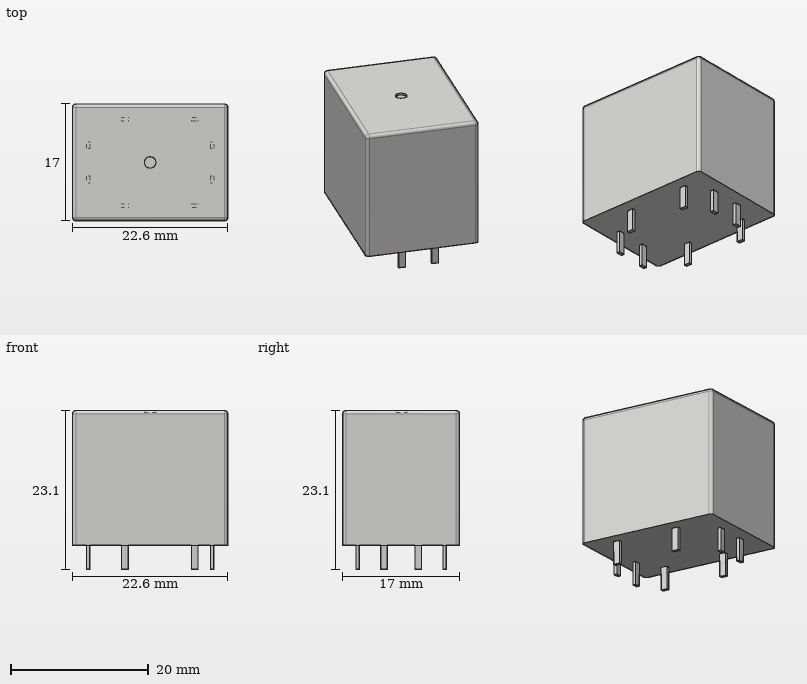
import cadquery as cq

case_length = 22.6
case_width = 17.0
total_height = 23.1
pin_length = 3.5
case_height = total_height - pin_length
edge_radius = 0.5

recess_diameter = 1.66
recess_depth = 0.3

pin_breadth = 1.0
pin_thickness = 0.5

side_pin_xs = (-3.67, 6.5)
side_row_offset = 6.3

end_row_offset = 9.0
end_pin_offset = 2.5


def make_case():
    """Box with rounded upright and top edges and a recess in its top."""
    case = cq.Workplane("XY").box(case_length, case_width, case_height, centered=(True, True, False))
    case = case.edges("|Z or >Z").fillet(edge_radius)
    return case.faces(">Z").workplane(origin=(0, 0, case_height)).hole(recess_diameter, recess_depth)


def make_pins(xs, ys, size_x, size_y):
    """Rectangular pins hanging below the case at every pairing of xs and ys."""
    centres = [(x, y) for x in xs for y in ys]
    return cq.Workplane("XY").pushPoints(centres).rect(size_x, size_y).extrude(-pin_length)


side_row_ys = (-side_row_offset, side_row_offset)
end_row_xs = (-end_row_offset, end_row_offset)
end_pin_ys = (-end_pin_offset, end_pin_offset)

side_pins = make_pins(side_pin_xs, side_row_ys, pin_breadth, pin_thickness)
end_pins = make_pins(end_row_xs, end_pin_ys, pin_thickness, pin_breadth)

result = make_case().union(side_pins).union(end_pins)